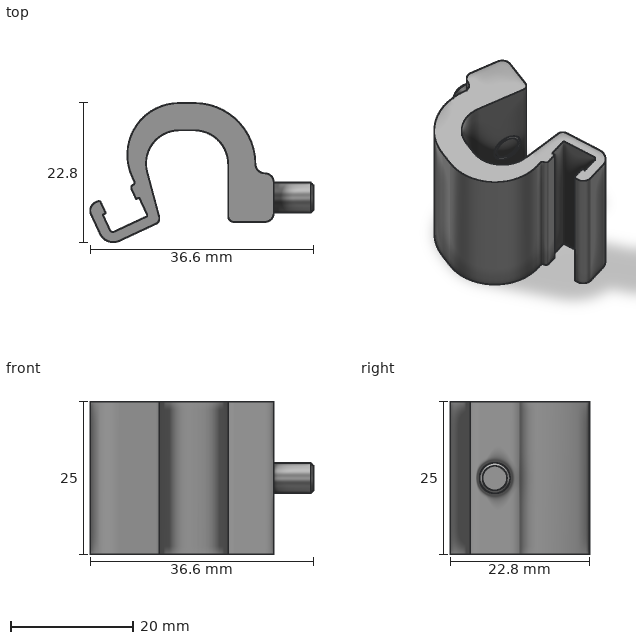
import cadquery as cq
import math


LENGTH = 25.0
BEND_FLAT = 2.5
INNER_R = 5.5
LEFT_INNER_R = 5.4
WALL = 4.5
OUTER_R = INNER_R + WALL
LEFT_OUTER_R = 8.5
ARM_TILT = 15.0

BLOCK_WIDTH = 7.5
BLOCK_HEIGHT = 8.0
BLOCK_R = 1.5
BLOCK_INNER_R = 1.0

HOOK_TILT = 25.0
SLOT_WIDTH = 6.55
LIP_OVERHANG = 0.55
SLOT_DEPTH = 3.28
LIP_HEIGHT = 2.35
HOOK_WALL = 1.75
SLOT_OFFSET = 0.4
NECK_LENGTH = 1.25
SLOT_LEFT_R = 0.5
SLOT_RIGHT_R = 0.2
HOOK_BOTTOM_R = 2.4
HOOK_HEEL_R = 1.0
LIP_BACK_R = 1.5
LEFT_LIP_R = 0.35
RIGHT_LIP_R = 0.55
NECK_R = 0.39

PIN_D = 5.0
PIN_LENGTH = 14.0
PIN_CHAMFER = 0.5

LEFT_X = -BEND_FLAT
LEFT_OUTER_Y = OUTER_R - LEFT_OUTER_R
LEFT_INNER_Y = INNER_R - LEFT_INNER_R
BLOCK_TOP = -BLOCK_R
BLOCK_BOTTOM = BLOCK_TOP - BLOCK_HEIGHT
BLOCK_RIGHT = INNER_R + BLOCK_WIDTH
PIN_Y = (BLOCK_TOP + BLOCK_BOTTOM) / 2


def polar(centre_x, centre_y, radius, degrees):
    """Point on a circle at the given angle from +X."""
    angle = math.radians(degrees)
    return (centre_x + radius * math.cos(angle), centre_y + radius * math.sin(angle))


HOOK_ORIGIN = polar(LEFT_X, LEFT_OUTER_Y, LEFT_OUTER_R, 180 + HOOK_TILT)


def hook_point(across, along):
    """Point in the hook's turned frame: across the slot, and along the slot walls."""
    x, y = polar(*HOOK_ORIGIN, across, HOOK_TILT)
    return polar(x, y, along, HOOK_TILT + 90)


LIP_TOP = -NECK_LENGTH
LIP_UNDER = LIP_TOP - LIP_HEIGHT
SLOT_FLOOR = LIP_UNDER - SLOT_DEPTH
HOOK_BOTTOM = SLOT_FLOOR - HOOK_WALL
SLOT_RIGHT = -SLOT_OFFSET
SLOT_LEFT = SLOT_RIGHT - SLOT_WIDTH
HOOK_LEFT = SLOT_LEFT - HOOK_WALL
RIGHT_LIP = SLOT_RIGHT - LIP_OVERHANG
LEFT_LIP = SLOT_LEFT + LIP_OVERHANG

NECK_CORNER = hook_point(0, LIP_TOP)
RIGHT_LIP_TIP = hook_point(RIGHT_LIP, LIP_TOP)
SLOT_RIGHT_CORNER = hook_point(SLOT_RIGHT, SLOT_FLOOR)
SLOT_LEFT_CORNER = hook_point(SLOT_LEFT, SLOT_FLOOR)
LEFT_LIP_TIP = hook_point(LEFT_LIP, LIP_TOP)
LIP_BACK = hook_point(HOOK_LEFT, LIP_TOP)
HOOK_BOTTOM_CORNER = hook_point(HOOK_LEFT, HOOK_BOTTOM)

ARM_START = polar(LEFT_X, LEFT_INNER_Y, LEFT_INNER_R, 180 + ARM_TILT)


def heel_corner():
    """Where the arm's inner face meets the underside of the hook."""
    base_x, base_y = hook_point(0, HOOK_BOTTOM)
    tilt = math.radians(ARM_TILT)
    distance = (ARM_START[0] - base_x) * math.cos(tilt) + (ARM_START[1] - base_y) * math.sin(tilt)
    across = distance / math.cos(math.radians(HOOK_TILT - ARM_TILT))
    return hook_point(across, HOOK_BOTTOM)


HEEL_CORNER = heel_corner()
BLOCK_INNER_CORNER = (INNER_R, BLOCK_BOTTOM)
BLOCK_OUTER_CORNER = (BLOCK_RIGHT, BLOCK_BOTTOM)

ROUNDED_CORNERS = [
    (NECK_CORNER, NECK_R),
    (RIGHT_LIP_TIP, RIGHT_LIP_R),
    (SLOT_RIGHT_CORNER, SLOT_RIGHT_R),
    (SLOT_LEFT_CORNER, SLOT_LEFT_R),
    (LEFT_LIP_TIP, LEFT_LIP_R),
    (LIP_BACK, LIP_BACK_R),
    (HOOK_BOTTOM_CORNER, HOOK_BOTTOM_R),
    (HEEL_CORNER, HOOK_HEEL_R),
    (BLOCK_INNER_CORNER, BLOCK_INNER_R),
    (BLOCK_OUTER_CORNER, BLOCK_R),
]


def make_body():
    """Clamp profile extruded along Z, with its corners rounded."""
    left_outer_mid = polar(LEFT_X, LEFT_OUTER_Y, LEFT_OUTER_R, 135 + HOOK_TILT / 2)
    left_inner_mid = polar(LEFT_X, LEFT_INNER_Y, LEFT_INNER_R, 135 + ARM_TILT / 2)
    body = (
        cq.Workplane("XY")
        .moveTo(OUTER_R, 0)
        .threePointArc(polar(0, 0, OUTER_R, 45), (0, OUTER_R))
        .lineTo(LEFT_X, OUTER_R)
        .threePointArc(left_outer_mid, HOOK_ORIGIN)
        .lineTo(*NECK_CORNER)
        .lineTo(*RIGHT_LIP_TIP)
        .lineTo(*hook_point(RIGHT_LIP, LIP_UNDER))
        .lineTo(*hook_point(SLOT_RIGHT, LIP_UNDER))
        .lineTo(*SLOT_RIGHT_CORNER)
        .lineTo(*SLOT_LEFT_CORNER)
        .lineTo(*hook_point(SLOT_LEFT, LIP_UNDER))
        .lineTo(*hook_point(LEFT_LIP, LIP_UNDER))
        .lineTo(*LEFT_LIP_TIP)
        .lineTo(*LIP_BACK)
        .lineTo(*HOOK_BOTTOM_CORNER)
        .lineTo(*HEEL_CORNER)
        .lineTo(*ARM_START)
        .threePointArc(left_inner_mid, (LEFT_X, INNER_R))
        .lineTo(0, INNER_R)
        .threePointArc(polar(0, 0, INNER_R, 45), (INNER_R, 0))
        .lineTo(*BLOCK_INNER_CORNER)
        .lineTo(*BLOCK_OUTER_CORNER)
        .lineTo(BLOCK_RIGHT, BLOCK_TOP - BLOCK_R)
        .threePointArc(
            polar(BLOCK_RIGHT - BLOCK_R, BLOCK_TOP - BLOCK_R, BLOCK_R, 45),
            (BLOCK_RIGHT - BLOCK_R, BLOCK_TOP),
        )
        .threePointArc(
            polar(OUTER_R + BLOCK_R, 0, BLOCK_R, 225),
            (OUTER_R, 0),
        )
        .close()
        .extrude(LENGTH)
    )
    for (x, y), radius in ROUNDED_CORNERS:
        corner_edge = cq.selectors.NearestToPointSelector((x, y, LENGTH / 2))
        body = body.edges("|Z").edges(corner_edge).fillet(radius)
    return body


def cylinder_along_x(length):
    """Pin-sized cylinder starting at the block's inner face."""
    return (
        cq.Workplane("YZ", origin=(INNER_R, PIN_Y, LENGTH / 2))
        .circle(PIN_D / 2)
        .extrude(length)
    )


def add_pin(body):
    """Fit the pin, chamfered at both ends, leaving a ring groove in the inner face."""
    hole_mouth = cylinder_along_x(PIN_CHAMFER)
    pin = cylinder_along_x(PIN_LENGTH).faces("<X or >X").chamfer(PIN_CHAMFER)
    return body.cut(hole_mouth).union(pin)


result = add_pin(make_body())